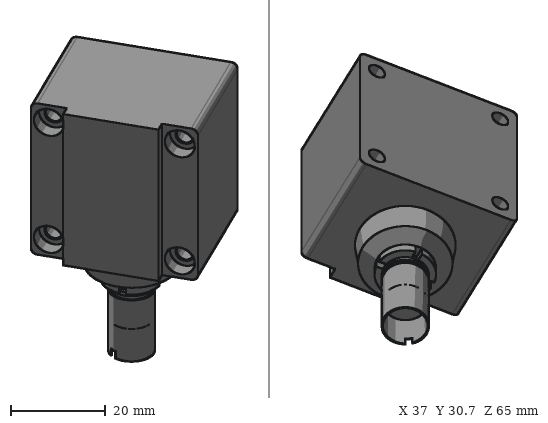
import cadquery as cq


width = 37.0
height = 37.5
rail_width = 21.1
rail_depth = 2.5
total_depth = 30.7
block_depth = total_depth - rail_depth
axis_to_block_front = 12.2
block_front = -axis_to_block_front
corner_radius = 1.5

hole_pitch = 29.0
hole_diameter = 3.75
hole_chamfer = 0.2
counterbore_diameter = 6.6
counterbore_depth = 3.6

gland_top_radius = 10.65
gland_middle_radius = 10.2
gland_rim_radius = 10.0
gland_rim_z = -6.1
gland_bottom_z = -7.95

lug_radius = 6.5
lug_height = 2.0
lug_slot_width = 1.5
lug_slot_count = 4
hub_radius = 4.0
hub_overhang = 0.4
hub_height = lug_height + hub_overhang

connector_radius = 5.0
connector_top_z = gland_bottom_z - hub_height
connector_bottom_z = -27.5
flange_height = 0.9
groove_height = 1.05
groove_radius = 4.6
bore_radius = 4.75
bore_depth = 8.0
keyway_width = 1.5
keyway_height = 1.65
keyway_angle = 35.0


def make_hole_cutter():
    """Stepped hole along +Y from the origin, with a small chamfer below the counterbore."""
    hole_radius = hole_diameter / 2
    chamfer_radius = hole_radius + hole_chamfer
    counterbore_radius = counterbore_diameter / 2
    return (
        cq.Workplane("XY")
        .lineTo(counterbore_radius, 0)
        .lineTo(counterbore_radius, counterbore_depth)
        .lineTo(chamfer_radius, counterbore_depth)
        .lineTo(hole_radius, counterbore_depth + hole_chamfer)
        .lineTo(hole_radius, block_depth)
        .lineTo(0, block_depth)
        .close()
        .revolve(360, (0, 0), (0, 1))
    )


def make_housing():
    middle_y = block_front + block_depth / 2
    block = (
        cq.Workplane("XY")
        .box(width, block_depth, height)
        .edges("|Y")
        .fillet(corner_radius)
        .translate((0, middle_y, height / 2))
    )
    rail = cq.Workplane("XY").box(rail_width, rail_depth, height)
    rail = rail.translate((0, block_front - rail_depth / 2, height / 2))
    housing = block.union(rail)
    for x in (-hole_pitch / 2, hole_pitch / 2):
        for z in (height / 2 - hole_pitch / 2, height / 2 + hole_pitch / 2):
            hole = make_hole_cutter().translate((x, block_front, z))
            housing = housing.cut(hole)
    return housing


def make_gland():
    return (
        cq.Workplane("XZ")
        .lineTo(gland_top_radius, 0)
        .threePointArc((gland_middle_radius, gland_rim_z / 2), (gland_rim_radius, gland_rim_z))
        .lineTo(lug_radius, gland_bottom_z)
        .lineTo(0, gland_bottom_z)
        .close()
        .revolve(360, (0, 0), (0, 1))
    )


def make_nut():
    top = cq.Workplane("XY", origin=(0, 0, gland_bottom_z))
    hub = top.circle(hub_radius).extrude(-hub_height)
    lugs = top.circle(lug_radius).circle(hub_radius).extrude(-lug_height)
    slots = (
        top.polarArray(lug_radius, 0, 360, lug_slot_count)
        .rect(2 * lug_radius, lug_slot_width)
        .extrude(-lug_height)
    )
    return hub.union(lugs.cut(slots))


def make_connector():
    groove_top_z = connector_top_z - flange_height
    groove_bottom_z = groove_top_z - groove_height
    sleeve = (
        cq.Workplane("XZ")
        .moveTo(0, connector_top_z)
        .lineTo(connector_radius, connector_top_z)
        .lineTo(connector_radius, groove_top_z)
        .lineTo(groove_radius, groove_top_z)
        .lineTo(groove_radius, groove_bottom_z)
        .lineTo(connector_radius, groove_bottom_z)
        .lineTo(connector_radius, connector_bottom_z)
        .lineTo(0, connector_bottom_z)
        .close()
        .revolve(360, (0, 0), (0, 1))
    )
    bottom = cq.Workplane("XY", origin=(0, 0, connector_bottom_z))
    bore = bottom.circle(bore_radius).extrude(bore_depth)
    keyway = (
        bottom.center(0, -connector_radius)
        .rect(keyway_width, connector_radius)
        .extrude(keyway_height)
        .rotate((0, 0, 0), (0, 0, 1), -keyway_angle)
    )
    return sleeve.cut(bore).cut(keyway)


housing = make_housing()
gland = make_gland()
nut = make_nut()
connector = make_connector()

result = cq.Compound.makeCompound([housing.val(), gland.val(), nut.val(), connector.val()])